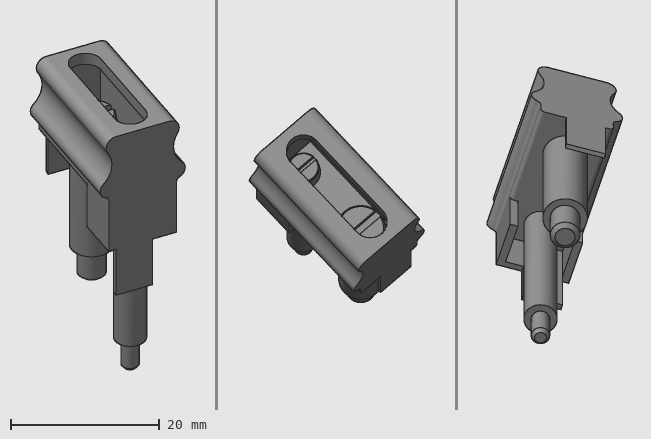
import cadquery as cq
import math


LENGTH = 21.0
BODY_HEIGHT = 12.0
TOP_HALF_WIDTH = 4.0
LOBE_RADIUS = 1.5
WAIST_HALF_WIDTH = 4.65
WAIST_DEPTH = 4.4
BULGE_HALF_WIDTH = 6.4
BULGE_RADIUS = 1.4
WALL_HALF_WIDTH = 5.1
WALL_TOP_DEPTH = 10.3
UNDERSIDE_FILLET = 0.55

SKIRT_START = 14.4
SKIRT_DROP = 6.6
SKIRT_WALL = 1.1
END_WALL = 0.8
TAB_WIDTH = 5.5
END_TAB_DROP = 14.1
FRONT_TAB_DROP = 7.1
FRONT_TAB_THICKNESS = 0.55
FRONT_TAB_BEVEL = 0.2
SKIRT_HALF_GAP = WALL_HALF_WIDTH - SKIRT_WALL

SLOT_WIDTH = 4.6
SLOT_LENGTH = 18.0
SLOT_DEPTH = 1.8
CHAMBER_LENGTH = 18.6
CHAMBER_WIDTH = 7.2
FLOOR_THICKNESS = 1.0
CHAMBER_HEIGHT = BODY_HEIGHT - SLOT_DEPTH - FLOOR_THICKNESS

BAR_THICKNESS = 2.0
BAR_BOTTOM = FLOOR_THICKNESS
BAR_TOP = BAR_BOTTOM + BAR_THICKNESS

HEAD_HEIGHT = 2.0
DRIVE_SLOT_DEPTH = 0.8
TIP_CHAMFER_HEIGHT = 0.55
CONTACTS = {
    "wide": dict(
        x=5.65, sleeve_radius=3.0, sleeve_drop=16.6,
        shank_radius=2.0, shank_drop=21.6, tip_radius=1.35,
        head_radius=3.55, head_rim_radius=3.25, head_top_radius=3.05, drive_slot_width=1.1,
    ),
    "narrow": dict(
        x=17.2, sleeve_radius=2.25, sleeve_drop=24.6,
        shank_radius=1.25, shank_drop=29.5, tip_radius=0.8,
        head_radius=2.3, head_rim_radius=2.1, head_top_radius=1.95, drive_slot_width=0.6,
    ),
}
HEAD_RIM_DROP = 0.2


def block(x_range, y_range, z_range):
    """Box between two limits along each axis."""
    sizes = [high - low for low, high in (x_range, y_range, z_range)]
    corner = (x_range[0], y_range[0], z_range[0])
    return cq.Workplane("XY").box(*sizes, centered=False).translate(corner)


def cylinder(x, radius, bottom, top):
    """Upright cylinder on the middle plane of the housing."""
    return cq.Workplane("XY", origin=(x, 0, bottom)).circle(radius).extrude(top - bottom)


def between(center_a, center_b, radius_a):
    """Point where a circle of radius_a about center_a touches a circle about center_b."""
    reach = radius_a / math.dist(center_a, center_b)
    return tuple(a + reach * (b - a) for a, b in zip(center_a, center_b))


def arc_middle(center, radius, start, end):
    """Middle point of the shorter arc from start to end."""
    chord = [(s + e) / 2 - c for s, e, c in zip(start, end, center)]
    reach = radius / math.hypot(*chord)
    return tuple(c + reach * d for c, d in zip(center, chord))


def body_profile():
    """Cross-section in Y and Z, its sides made of mutually tangent arcs."""
    lobe = (TOP_HALF_WIDTH, BODY_HEIGHT - LOBE_RADIUS)

    waist_z = BODY_HEIGHT - WAIST_DEPTH
    inset = WAIST_HALF_WIDTH - lobe[0]
    rise = lobe[1] - waist_z
    waist_radius = (inset**2 + rise**2 - LOBE_RADIUS**2) / (2 * (LOBE_RADIUS - inset))
    waist = (WAIST_HALF_WIDTH + waist_radius, waist_z)

    bulge_y = BULGE_HALF_WIDTH - BULGE_RADIUS
    bulge_fall = math.sqrt((waist_radius + BULGE_RADIUS) ** 2 - (waist[0] - bulge_y) ** 2)
    bulge = (bulge_y, waist_z - bulge_fall)

    wall_top = (WALL_HALF_WIDTH, BODY_HEIGHT - WALL_TOP_DEPTH)
    step = bulge[0] - wall_top[0]
    drop = bulge[1] - wall_top[1]
    root_radius = (step**2 + drop**2 - BULGE_RADIUS**2) / (2 * (BULGE_RADIUS + step))
    root = (wall_top[0] + root_radius, wall_top[1])

    lobe_start = (TOP_HALF_WIDTH, BODY_HEIGHT)
    lobe_end = between(lobe, waist, LOBE_RADIUS)
    waist_end = between(waist, bulge, waist_radius)
    bulge_end = between(bulge, root, BULGE_RADIUS)
    arcs = [
        (arc_middle(lobe, LOBE_RADIUS, lobe_start, lobe_end), lobe_end),
        (arc_middle(waist, waist_radius, lobe_end, waist_end), waist_end),
        (arc_middle(bulge, BULGE_RADIUS, waist_end, bulge_end), bulge_end),
        (arc_middle(root, root_radius, bulge_end, wall_top), wall_top),
    ]

    half = cq.Workplane("YZ").moveTo(0, BODY_HEIGHT).lineTo(*lobe_start)
    for middle, end in arcs:
        half = half.threePointArc(middle, end)
    return half.lineTo(WALL_HALF_WIDTH, 0).lineTo(0, 0).mirrorY()


def make_body():
    body = body_profile().extrude(LENGTH)
    lower_edges = cq.selectors.BoxSelector(
        (-1, -BULGE_HALF_WIDTH, -UNDERSIDE_FILLET),
        (LENGTH + 1, BULGE_HALF_WIDTH, UNDERSIDE_FILLET),
    )
    return body.edges("|X").edges(lower_edges).fillet(UNDERSIDE_FILLET)


def make_skirt():
    """Three walls round the narrow contact, open toward the wide one."""
    skirt = block(
        (SKIRT_START, LENGTH),
        (-WALL_HALF_WIDTH, WALL_HALF_WIDTH),
        (-SKIRT_DROP, UNDERSIDE_FILLET),
    )
    opening = block(
        (SKIRT_START, LENGTH - END_WALL),
        (-SKIRT_HALF_GAP, SKIRT_HALF_GAP),
        (-SKIRT_DROP, 0),
    )
    return skirt.cut(opening)


def make_tabs():
    """One thin tab below each end face of the housing."""
    tab_sides = (-SKIRT_HALF_GAP, TAB_WIDTH - SKIRT_HALF_GAP)
    end_tab = block((LENGTH - END_WALL, LENGTH), tab_sides, (-END_TAB_DROP, 0))
    front_tab = (
        cq.Workplane("XZ", origin=(0, tab_sides[1], 0))
        .moveTo(0, FLOOR_THICKNESS)
        .lineTo(FRONT_TAB_THICKNESS, FLOOR_THICKNESS)
        .lineTo(FRONT_TAB_THICKNESS, -FRONT_TAB_DROP)
        .lineTo(0, FRONT_TAB_BEVEL - FRONT_TAB_DROP)
        .close()
        .extrude(TAB_WIDTH)
    )
    return end_tab, front_tab


def make_housing():
    housing = make_body().union(make_skirt())
    for tab in make_tabs():
        housing = housing.union(tab)

    slot = (
        cq.Workplane("XY", origin=(LENGTH / 2, 0, BODY_HEIGHT))
        .slot2D(SLOT_LENGTH, SLOT_WIDTH)
        .extrude(-SLOT_DEPTH)
    )
    chamber = (
        cq.Workplane("XY", origin=(LENGTH / 2, 0, FLOOR_THICKNESS))
        .rect(CHAMBER_LENGTH, CHAMBER_WIDTH)
        .extrude(CHAMBER_HEIGHT)
    )
    housing = housing.cut(slot).cut(chamber)
    for contact in CONTACTS.values():
        housing = housing.cut(cylinder(contact["x"], contact["sleeve_radius"], 0, FLOOR_THICKNESS))
    return housing


def make_bridge_bar():
    bar = (
        cq.Workplane("XY", origin=(LENGTH / 2, 0, BAR_BOTTOM))
        .rect(CHAMBER_LENGTH, CHAMBER_WIDTH)
        .extrude(BAR_THICKNESS)
    )
    for contact in CONTACTS.values():
        bar = bar.cut(cylinder(contact["x"], contact["shank_radius"], BAR_BOTTOM, BAR_TOP))
    return bar


def make_sleeve(contact):
    """Tube hanging from the underside of the bridge bar."""
    bottom = -contact["sleeve_drop"]
    sleeve = cylinder(contact["x"], contact["sleeve_radius"], bottom, BAR_BOTTOM)
    bore = cylinder(contact["x"], contact["shank_radius"], bottom, BAR_BOTTOM)
    return sleeve.cut(bore)


def make_screw(contact):
    """Turned screw with a tapered, slotted head and a chamfered tip."""
    tip = -contact["shank_drop"]
    head_top = BAR_TOP + HEAD_HEIGHT
    screw = (
        cq.Workplane("XZ")
        .moveTo(0, tip)
        .lineTo(contact["tip_radius"], tip)
        .lineTo(contact["shank_radius"], tip + TIP_CHAMFER_HEIGHT)
        .lineTo(contact["shank_radius"], BAR_TOP)
        .lineTo(contact["head_radius"], BAR_TOP)
        .lineTo(contact["head_rim_radius"], head_top - HEAD_RIM_DROP)
        .lineTo(contact["head_top_radius"], head_top)
        .lineTo(0, head_top)
        .close()
        .revolve(360, (0, 0, 0), (0, 1, 0))
    )
    half_slot = contact["drive_slot_width"] / 2
    drive_slot = block(
        (-half_slot, half_slot),
        (-contact["head_radius"], contact["head_radius"]),
        (head_top - DRIVE_SLOT_DEPTH, head_top),
    )
    return screw.cut(drive_slot).translate((contact["x"], 0, 0))


housing = make_housing()
bridge_bar = make_bridge_bar()
sleeves = [make_sleeve(contact) for contact in CONTACTS.values()]
screws = [make_screw(contact) for contact in CONTACTS.values()]

result = cq.Compound.makeCompound(
    [housing.val(), bridge_bar.val()]
    + [sleeve.val() for sleeve in sleeves]
    + [screw.val() for screw in screws]
)